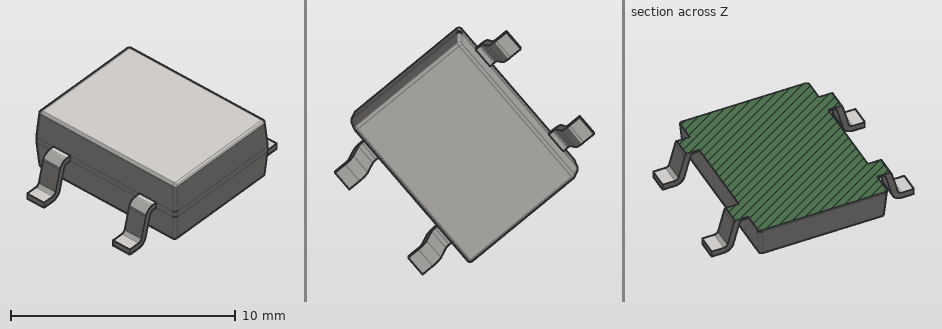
import cadquery as cq
import math

BODY_LENGTH = 8.3
BODY_WIDTH = 6.4
BODY_HEIGHT = 3.2
STANDOFF = 0.15
DRAFT_ANGLE = 4.2
EDGE_RADIUS = 0.15

LEAD_SPAN = 10.0
LEAD_PITCH = 5.08
LEAD_WIDTH = 1.0
LEAD_THICKNESS = 0.3
FOOT_LENGTH = 0.6
INNER_BEND_RADIUS = 0.2
LEAN_ANGLE = math.radians(15.0)
LEAD_EMBED = 0.5

BAND_CENTRE = STANDOFF + BODY_HEIGHT / 2
BAND_TOP = BAND_CENTRE + LEAD_THICKNESS / 2
BAND_BOTTOM = BAND_TOP - LEAD_THICKNESS
DRAFTED_HEIGHT = (BODY_HEIGHT - LEAD_THICKNESS) / 2


def make_body():
    """Block with an upright middle band, drafted above and below, all outer edges rounded."""
    band = (
        cq.Workplane("XY", origin=(0, 0, BAND_BOTTOM))
        .rect(BODY_LENGTH, BODY_WIDTH)
        .extrude(LEAD_THICKNESS)
        .edges("|Z")
        .fillet(EDGE_RADIUS)
    )
    upper = (
        cq.Workplane("XY", origin=(0, 0, BAND_TOP))
        .rect(BODY_LENGTH, BODY_WIDTH)
        .extrude(DRAFTED_HEIGHT, taper=DRAFT_ANGLE)
        .edges("not(#Z)")
        .fillet(EDGE_RADIUS)
        .faces(">Z")
        .edges()
        .fillet(EDGE_RADIUS)
    )
    lower = upper.mirror("XY", (0, 0, BAND_CENTRE))
    return band.union(upper).union(lower)


def make_lead():
    """One lead on the +Y side, centred on X = 0, with its foot resting on Z = 0."""
    outer_radius = INNER_BEND_RADIUS + LEAD_THICKNESS
    shoulder_z = BAND_TOP - outer_radius
    foot_bend_z = outer_radius
    foot_bend_y = LEAD_SPAN / 2 - FOOT_LENGTH
    bend_rise = shoulder_z - foot_bend_z
    bend_run = (INNER_BEND_RADIUS + outer_radius + bend_rise * math.sin(LEAN_ANGLE)) / math.cos(LEAN_ANGLE)
    shoulder_y = foot_bend_y - bend_run

    def shoulder_point(radius, angle):
        return (shoulder_y + radius * math.cos(angle), shoulder_z + radius * math.sin(angle))

    def foot_point(radius, angle):
        return (foot_bend_y - radius * math.cos(angle), foot_bend_z - radius * math.sin(angle))

    upright = math.pi / 2
    mid_bend = (upright + LEAN_ANGLE) / 2
    root_y = BODY_WIDTH / 2 - LEAD_EMBED
    profile = (
        cq.Workplane("YZ")
        .moveTo(root_y, BAND_TOP)
        .lineTo(*shoulder_point(outer_radius, upright))
        .threePointArc(shoulder_point(outer_radius, mid_bend), shoulder_point(outer_radius, LEAN_ANGLE))
        .lineTo(*foot_point(INNER_BEND_RADIUS, LEAN_ANGLE))
        .threePointArc(foot_point(INNER_BEND_RADIUS, mid_bend), foot_point(INNER_BEND_RADIUS, upright))
        .lineTo(LEAD_SPAN / 2, LEAD_THICKNESS)
        .lineTo(LEAD_SPAN / 2, 0)
        .lineTo(*foot_point(outer_radius, upright))
        .threePointArc(foot_point(outer_radius, mid_bend), foot_point(outer_radius, LEAN_ANGLE))
        .lineTo(*shoulder_point(INNER_BEND_RADIUS, LEAN_ANGLE))
        .threePointArc(
            shoulder_point(INNER_BEND_RADIUS, mid_bend),
            shoulder_point(INNER_BEND_RADIUS, upright),
        )
        .lineTo(root_y, BAND_BOTTOM)
        .close()
    )
    return profile.extrude(LEAD_WIDTH / 2, both=True)


back_lead = make_lead()
front_lead = back_lead.mirror("XZ")

result = make_body()
for lead_x in (-LEAD_PITCH / 2, LEAD_PITCH / 2):
    for lead in (back_lead, front_lead):
        result = result.union(lead.translate((lead_x, 0, 0)))